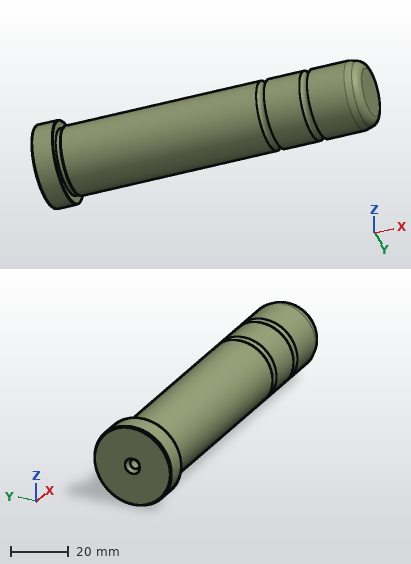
import cadquery as cq
import math

length = 120.0
head_radius = 15.0
head_length = 8.0
head_chamfer = 0.5
head_back_chamfer = 0.2
shaft_radius = 12.5
neck_radius = 12.0
neck_end = 9.6
nose_length = 5.0
lead_angle = math.radians(15)
tip_radius = 3.4

groove_centers = (83.9, 99.8)
groove_width = 2.9
groove_depth = 0.7

hole_mouth_radius = 2.9
hole_radius = 1.8
hole_depth = 7.2
cone_half_angle = math.radians(30)
drill_half_angle = math.radians(59)


def revolve_about_x(profile):
    """Turn a closed XY profile into a solid of revolution about X."""
    return profile.close().revolve(360, (0, 0, 0), (1, 0, 0))


def make_pin():
    """Headed pin with an undercut neck and a tapered, rounded nose."""
    nose_start = length - nose_length
    tip_center_x = length - tip_radius
    tip_start_x = tip_center_x + tip_radius * math.sin(lead_angle)
    tip_start_y = shaft_radius - (tip_start_x - nose_start) * math.tan(lead_angle)
    tip_center_y = tip_start_y - tip_radius * math.cos(lead_angle)
    middle_angle = (math.pi / 2 + lead_angle) / 2
    tip_middle = (
        tip_center_x + tip_radius * math.sin(middle_angle),
        tip_center_y + tip_radius * math.cos(middle_angle),
    )
    relief = shaft_radius - neck_radius
    profile = (
        cq.Workplane("XY")
        .lineTo(0, head_radius - head_chamfer)
        .lineTo(head_chamfer, head_radius)
        .lineTo(head_length - head_back_chamfer, head_radius)
        .lineTo(head_length, head_radius - head_back_chamfer)
        .lineTo(head_length, neck_radius)
        .lineTo(neck_end, neck_radius)
        .lineTo(neck_end + relief, shaft_radius)
        .lineTo(nose_start, shaft_radius)
        .lineTo(tip_start_x, tip_start_y)
        .threePointArc(tip_middle, (length, tip_center_y))
        .lineTo(length, 0)
    )
    return revolve_about_x(profile)


def make_groove(center):
    """Cutter for a ring groove with a circular-arc bottom."""
    half_width = groove_width / 2
    profile = (
        cq.Workplane("XY")
        .moveTo(center - half_width, shaft_radius)
        .threePointArc((center, shaft_radius - groove_depth), (center + half_width, shaft_radius))
        .lineTo(center + half_width, head_radius)
        .lineTo(center - half_width, head_radius)
    )
    return revolve_about_x(profile)


def make_center_hole():
    """Cutter for a blind hole with a conical mouth and a drill-point bottom."""
    cone_depth = (hole_mouth_radius - hole_radius) / math.tan(cone_half_angle)
    point_length = hole_radius / math.tan(drill_half_angle)
    profile = (
        cq.Workplane("XY")
        .lineTo(0, hole_mouth_radius)
        .lineTo(cone_depth, hole_radius)
        .lineTo(hole_depth, hole_radius)
        .lineTo(hole_depth + point_length, 0)
    )
    return revolve_about_x(profile)


result = make_pin()
for groove_center in groove_centers:
    result = result.cut(make_groove(groove_center))
result = result.cut(make_center_hole())